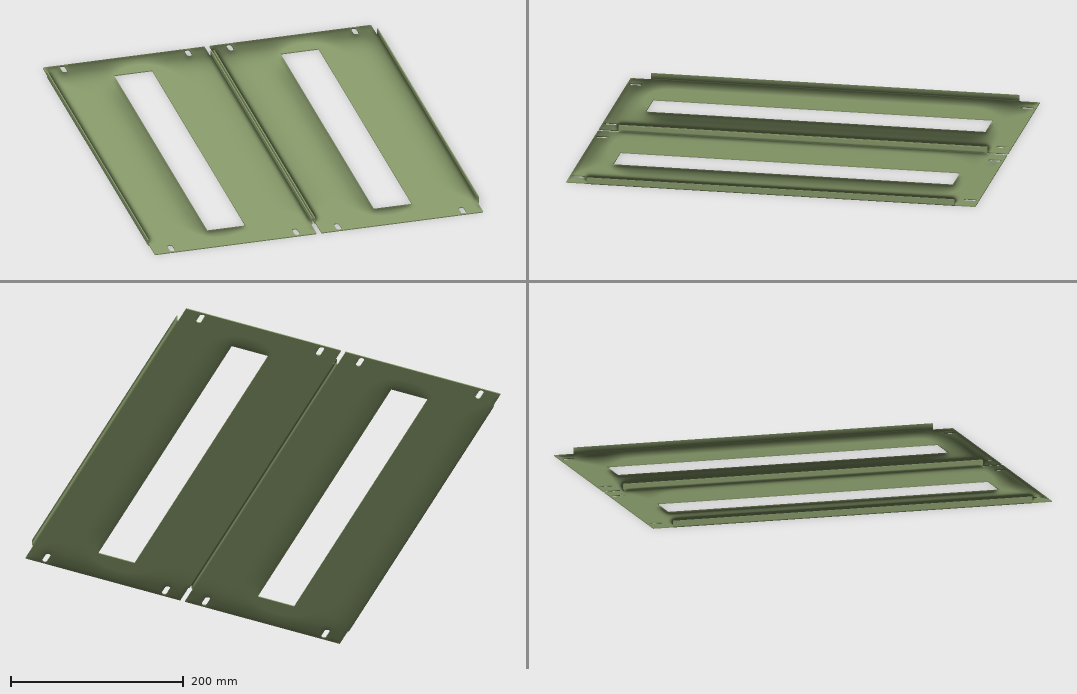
import cadquery as cq

panel_width = 482.0
total_depth = 398.0
panel_gap = 2.0
sheet = 1.2
panel_depth = (total_depth - panel_gap) / 2
panel_pitch = panel_depth + panel_gap

flange_length = 434.0
flange_height = 8.0
bend_outer_radius = 2.0
bend_inner_radius = bend_outer_radius - sheet
ear_setback = bend_outer_radius

window_length = 400.0
window_depth = 46.0

slot_length = 15.5
slot_width = 6.5
slot_spacing_x = 461.8
slot_spacing_y = 150.0


def flanged_channel():
    """Middle stretch of the panel: a flat web with both long edges bent upward."""
    outer = (
        cq.Workplane("XY")
        .box(flange_length, panel_depth, flange_height, centered=(True, True, False))
        .edges("|X and <Z")
        .fillet(bend_outer_radius)
    )
    inner = (
        cq.Workplane("XY", origin=(0, 0, sheet))
        .box(flange_length, panel_depth - 2 * sheet, flange_height, centered=(True, True, False))
        .edges("|X and <Z")
        .fillet(bend_inner_radius)
    )
    return outer.cut(inner)


def flat_ears():
    """Flat ears at both ends of the channel, stopping short of the bends in Y."""
    ear_depth = panel_depth - 2 * ear_setback
    ear_length = (panel_width - flange_length) / 2
    ear_center = (flange_length + ear_length) / 2
    return (
        cq.Workplane("XY")
        .pushPoints([(-ear_center, 0), (ear_center, 0)])
        .box(ear_length, ear_depth, sheet, centered=(True, True, False))
    )


def rack_panel(center_y):
    """One complete panel with its window and four mounting slots, centred at center_y."""
    window = cq.Workplane("XY").rect(window_length, window_depth).extrude(sheet)
    slots = (
        cq.Workplane("XY")
        .rect(slot_spacing_x, slot_spacing_y, forConstruction=True)
        .vertices()
        .slot2D(slot_length, slot_width)
        .extrude(sheet)
    )
    panel = flanged_channel().union(flat_ears()).cut(window).cut(slots)
    return panel.translate((0, center_y, 0))


panels = [rack_panel(side * panel_pitch / 2) for side in (-1, 1)]

result = cq.Compound.makeCompound([panel.val() for panel in panels])